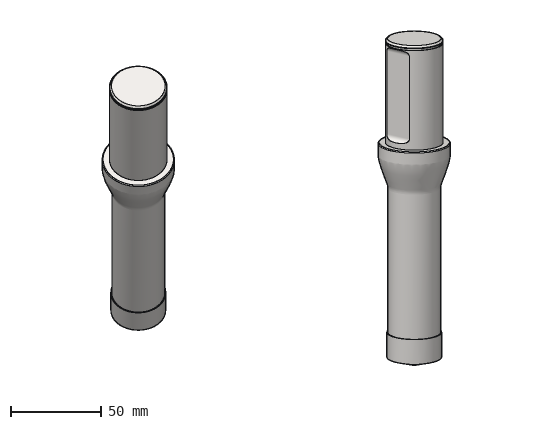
import cadquery as cq
import math

total_length = 188.0

head_radius = 30.5 / 2
head_top = 19.2
point_angle = 18.0
point_height = head_radius * math.tan(math.radians(point_angle))

neck_radius = 29.3 / 2
collar_radius = 40.0 / 2
collar_top = 128.2
collar_chamfer = 0.5
flare_top = 120.9
flare_bottom = 104.5
flare_angle = math.radians(20.0)
upper_blend_radius = 12.8
lower_blend_radius = 7.1

shank_radius = 32.0 / 2
end_chamfer = 1.1
end_groove_depth = 0.4
end_groove_top = 186.5
end_groove_bottom = 185.4

flat_offset = 13.7
flat_end_radius = 6.4 / 2
flat_bottom = 131.2
flat_top = 185.2


def blend_offset(radius, angle):
    """Radial and axial travel along a blend arc that starts parallel to the axis."""
    return radius * (1 - math.cos(angle)), radius * math.sin(angle)


def make_head():
    return (
        cq.Workplane("XZ")
        .polyline([(0, 0), (head_radius, point_height), (head_radius, head_top), (0, head_top)])
        .close()
        .revolve(360, (0, 0, 0), (0, 1, 0))
    )


def make_turned_shank():
    upper_inset, upper_drop = blend_offset(upper_blend_radius, flare_angle)
    lower_inset, lower_drop = blend_offset(lower_blend_radius, flare_angle)
    lower_mid_inset, lower_mid_drop = blend_offset(lower_blend_radius, flare_angle / 2)

    neck_top = flare_bottom - lower_drop
    flare_bottom_radius = neck_radius + lower_inset
    groove_radius = shank_radius - end_groove_depth

    return (
        cq.Workplane("XZ")
        .moveTo(0, head_top)
        .lineTo(neck_radius, head_top)
        .lineTo(neck_radius, neck_top)
        .threePointArc(
            (neck_radius + lower_mid_inset, neck_top + lower_mid_drop),
            (flare_bottom_radius, flare_bottom),
        )
        .spline(
            [(collar_radius - upper_inset, flare_top - upper_drop), (collar_radius, flare_top)],
            tangents=[(math.sin(flare_angle), math.cos(flare_angle)), (0, 1)],
            includeCurrent=True,
        )
        .lineTo(collar_radius, collar_top - collar_chamfer)
        .lineTo(collar_radius - collar_chamfer, collar_top)
        .lineTo(shank_radius, collar_top)
        .lineTo(shank_radius, end_groove_bottom)
        .lineTo(groove_radius, end_groove_bottom)
        .lineTo(groove_radius, end_groove_top)
        .lineTo(shank_radius, end_groove_top)
        .lineTo(shank_radius, total_length - end_chamfer)
        .lineTo(shank_radius - end_chamfer, total_length)
        .lineTo(0, total_length)
        .close()
        .revolve(360, (0, 0, 0), (0, 1, 0))
    )


def make_flat_cutter():
    """Full-width slab whose inner edges are rounded, leaving concave ends on the flat."""
    slab_depth = 2 * flat_end_radius
    return (
        cq.Workplane("XY")
        .box(collar_radius * 2, slab_depth, flat_top - flat_bottom)
        .edges("<Y and |X")
        .fillet(flat_end_radius)
        .translate((0, flat_offset + slab_depth / 2, (flat_top + flat_bottom) / 2))
    )


head = make_head()
shank = make_turned_shank().cut(make_flat_cutter())

result = cq.Compound.makeCompound([head.val(), shank.val()])